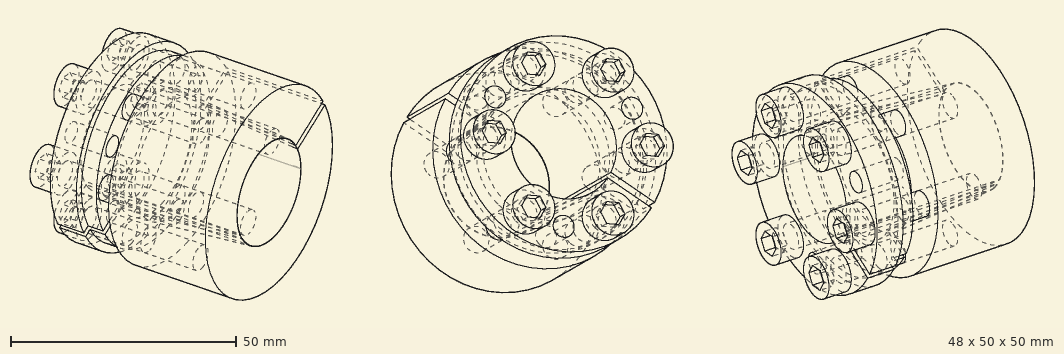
import cadquery as cq
import math


flange_thickness = 7
shoulder_thickness = 4
gap = 5
ring_length = 26
shoulder_face_x = flange_thickness + shoulder_thickness
ring_face_x = shoulder_face_x + gap
end_x = ring_face_x + ring_length

ring_radius = 50 / 2
flange_radius = 49 / 2
shoulder_radius = 45 / 2
bore_radius = 25 / 2
cone_root_radius = 30.1 / 2
cone_tip_wall = 0.1
cone_tip_radius = bore_radius + cone_tip_wall

cone_slope = (cone_root_radius - cone_tip_radius) / (end_x - shoulder_face_x)
cone_ring_radius = cone_root_radius - cone_slope * gap

slit_width = 1.5
hub_slit_angle = 210
ring_slit_angle = 30

pitch_radius = 37.5 / 2
screw_angles = range(0, 360, 60)
screw_diameter = 6
screw_length = 5 * screw_diameter
head_diameter = 10
head_height = screw_diameter
socket_flats = 5
socket_depth = head_height / 2
socket_corners = socket_flats / math.cos(math.radians(30))
jack_hole_diameter = 5
jack_hole_angles = (30, 150, 270)


def on_pitch_circle(angles):
    """(Y, Z) points on the pitch circle at the given angles in degrees."""
    return [
        (pitch_radius * math.cos(math.radians(a)), pitch_radius * math.sin(math.radians(a)))
        for a in angles
    ]


def turned(profile):
    """Solid turned about the X axis from a closed (X, radius) profile."""
    return cq.Workplane("XY").polyline(profile).close().revolve(360, (0, 0), (1, 0))


def rods(points, diameter, start_x, length):
    """Cylinders along +X at the given (Y, Z) points."""
    plane = cq.Workplane("YZ", origin=(start_x, 0, 0))
    return plane.pushPoints(points).circle(diameter / 2).extrude(length)


def slit(angle):
    """Radial slab from the axis outwards, cutting one side of a body along its whole length."""
    slab = cq.Workplane("XY").box(end_x, ring_radius + slit_width, slit_width, centered=(False, False, True))
    return slab.rotate((0, 0, 0), (1, 0, 0), angle)


def make_hub():
    body = turned([
        (0, bore_radius),
        (0, flange_radius),
        (flange_thickness, flange_radius),
        (flange_thickness, shoulder_radius),
        (shoulder_face_x, shoulder_radius),
        (shoulder_face_x, cone_root_radius),
        (end_x, cone_tip_radius),
        (end_x, bore_radius),
    ])
    screw_holes = rods(on_pitch_circle(screw_angles), screw_diameter, 0, shoulder_face_x)
    jack_holes = rods(on_pitch_circle(jack_hole_angles), jack_hole_diameter, 0, shoulder_face_x)
    return body.cut(screw_holes).cut(jack_holes).cut(slit(hub_slit_angle))


def make_ring():
    body = turned([
        (ring_face_x, cone_ring_radius),
        (ring_face_x, ring_radius),
        (end_x, ring_radius),
        (end_x, cone_tip_radius),
    ])
    screw_holes = rods(on_pitch_circle(screw_angles), screw_diameter, ring_face_x, screw_length - ring_face_x)
    return body.cut(screw_holes).cut(slit(ring_slit_angle))


def make_screw(point):
    head = rods([point], head_diameter, -head_height, head_height)
    shank = rods([point], screw_diameter, 0, screw_length)
    socket = (
        cq.Workplane("YZ", origin=(-head_height, 0, 0))
        .pushPoints([point])
        .polygon(6, socket_corners)
        .extrude(socket_depth)
    )
    return head.union(shank).cut(socket)


hub = make_hub()
ring = make_ring()
screws = [make_screw(point) for point in on_pitch_circle(screw_angles)]

result = cq.Compound.makeCompound([hub.val(), ring.val(), *[screw.val() for screw in screws]])